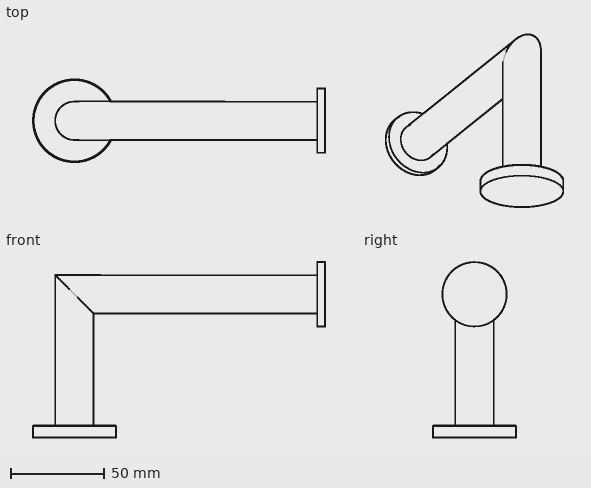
import cadquery as cq

overall_length = 156.22
overall_height = 93.86

base_diameter = 44.45
base_thickness = 6.6
base_edge_chamfer = 0.5

bar_diameter = 20.6
bar_axis_height = 76.6

end_flange_diameter = 2 * (overall_height - bar_axis_height)
end_flange_thickness = 4.2
end_face_x = overall_length - base_diameter / 2


def make_base():
    """Disc with a slightly broken top edge."""
    disc = cq.Workplane("XY").circle(base_diameter / 2).extrude(base_thickness)
    return disc.faces(">Z").edges().chamfer(base_edge_chamfer)


def make_bar():
    """Vertical post and horizontal arm meeting in a sharp 45 degree mitre."""
    path = (
        cq.Workplane("XZ")
        .lineTo(0, bar_axis_height)
        .lineTo(end_face_x, bar_axis_height)
    )
    return cq.Workplane("XY").circle(bar_diameter / 2).sweep(path, transition="right")


def make_end_flange():
    """Plain disc whose outer face is the +X end of the part."""
    return (
        cq.Workplane("YZ", origin=(end_face_x, 0, bar_axis_height))
        .circle(end_flange_diameter / 2)
        .extrude(-end_flange_thickness)
    )


result = make_base().union(make_bar()).union(make_end_flange())